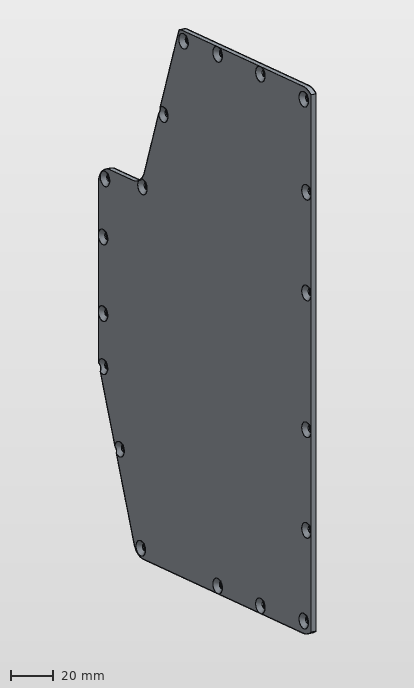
import cadquery as cq
import math

width = 173.8
thickness = 3.0
height = 270.8

bottom_left_x = 31.1
lower_slant_top_z = 87.5
shelf_z = 185.2
shelf_end_x = 35.2
top_left_x = 66.0

right_corner_radius = 10.0
right_corner_run = 6.5
bottom_left_radius = 8.0
shelf_corner_radius = 9.5
inner_corner_radius = 10.0
top_left_radius = 2.2

hole_diameter = 3.2
sink_diameter = 7.5
sink_angle = 90.0
edge_offset = 3.8
edge_hole_x = [97.5, 132.5]
right_hole_z = [51.7, 101.5]
left_hole_z = [86.0, 112.5, 150.3]
corner_hole_x = 168.0
corner_hole_z = 6.2
contour_holes = [
    (34.7, 5.0),
    (17.3, 49.0),
    (5.5, 179.5),
    (36.0, 184.0),
    (53.0, 224.7),
    (69.5, 265.5),
]


def round_corner(body, x, z, radius):
    """Round the plate edge that stands at the outline corner (x, z)."""
    edge = body.edges("|Y").edges(cq.selectors.NearestToPointSelector((x, thickness / 2, z)))
    return edge.fillet(radius)


def arc_drop(run):
    """Distance a right corner arc has left its tangent end edge after a run along X."""
    return right_corner_radius - math.sqrt(right_corner_radius**2 - run**2)


def make_plate():
    """Extrude the outline from the front face at Y = 0 to the back face."""
    arc_start_x = width - right_corner_run
    mid_run = right_corner_run / 2
    mid_drop = arc_drop(mid_run)
    end_drop = arc_drop(right_corner_run)
    body = (
        cq.Workplane("XZ")
        .moveTo(bottom_left_x, 0)
        .lineTo(arc_start_x, 0)
        .threePointArc((arc_start_x + mid_run, mid_drop), (width, end_drop))
        .lineTo(width, height - end_drop)
        .threePointArc((arc_start_x + mid_run, height - mid_drop), (arc_start_x, height))
        .lineTo(top_left_x, height)
        .lineTo(shelf_end_x, shelf_z)
        .lineTo(0, shelf_z)
        .lineTo(0, lower_slant_top_z)
        .close()
        .extrude(-thickness)
    )
    corners = [
        (bottom_left_x, 0, bottom_left_radius),
        (top_left_x, height, top_left_radius),
        (shelf_end_x, shelf_z, inner_corner_radius),
        (0, shelf_z, shelf_corner_radius),
    ]
    for x, z, radius in corners:
        body = round_corner(body, x, z, radius)
    return body


def hole_positions():
    """List every hole; the bottom, top and right rows mirror about mid-height."""
    points = list(contour_holes)
    points += [(edge_offset, z) for z in left_hole_z]
    mirrored = [(x, edge_offset) for x in edge_hole_x]
    mirrored += [(width - edge_offset, z) for z in right_hole_z]
    mirrored.append((corner_hole_x, corner_hole_z))
    for x, z in mirrored:
        points += [(x, z), (x, height - z)]
    return points


result = (
    make_plate()
    .faces("<Y")
    .workplane(origin=(0, 0, 0))
    .pushPoints(hole_positions())
    .cskHole(hole_diameter, sink_diameter, sink_angle)
)